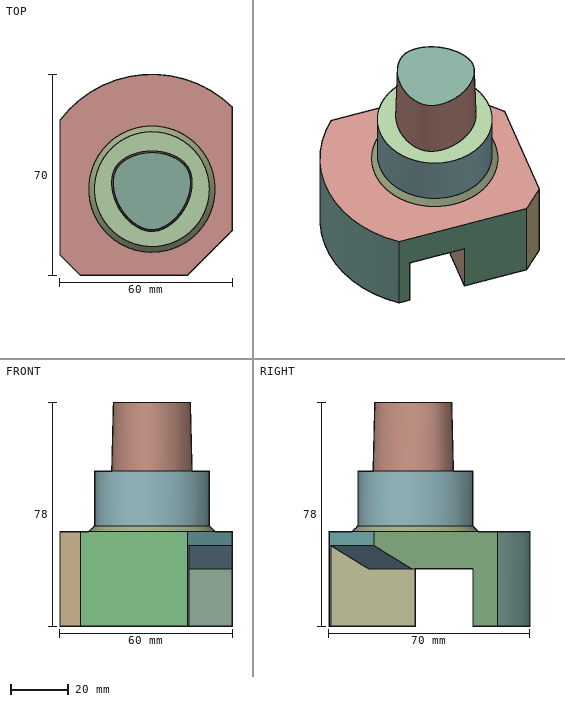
import cadquery as cq
import math


left_x = -32.0
right_x = 28.0
front_y = -30.0
back_radius = 40.0
block_height = 33.0
left_chamfer_width = 10.0
left_chamfer = left_chamfer_width / math.sqrt(2)
right_chamfer_distance = 30.0
right_chamfer_x = math.sqrt(2) * right_chamfer_distance + front_y
right_chamfer_y = right_x - math.sqrt(2) * right_chamfer_distance

slot_front_y = 0.0
slot_back_y = 20.0
slot_height = 20.0

relief_left_x = 13.0
ramp_rise = 8.1
ramp_run = 9.3

boss_radius = 20.0
boss_top = 54.0
flare_size = 2.0

shank_base_diameter = 28.05
shank_length = 24.0
shank_taper = 1 / 20
lobe_offset = 0.72


def make_block():
    back_left_y = math.sqrt(back_radius**2 - left_x**2)
    back_right_y = math.sqrt(back_radius**2 - right_x**2)
    return (
        cq.Workplane("XY")
        .moveTo(left_x + left_chamfer, front_y)
        .lineTo(right_chamfer_x, front_y)
        .lineTo(right_x, right_chamfer_y)
        .lineTo(right_x, back_right_y)
        .threePointArc((0, back_radius), (left_x, back_left_y))
        .lineTo(left_x, front_y + left_chamfer)
        .close()
        .extrude(block_height)
    )


def make_slot():
    return (
        cq.Workplane("XY")
        .moveTo(left_x, slot_front_y)
        .lineTo(right_x, slot_front_y)
        .lineTo(right_x, slot_back_y)
        .lineTo(left_x, slot_back_y)
        .close()
        .extrude(slot_height)
    )


def make_relief():
    """Opening to the right of relief_left_x; its roof climbs squarely towards the right chamfer."""
    footprint = (
        cq.Workplane("XY")
        .moveTo(relief_left_x, front_y)
        .lineTo(right_x, front_y)
        .lineTo(right_x, slot_front_y)
        .lineTo(relief_left_x, slot_front_y)
        .close()
        .extrude(block_height)
    )
    profile_plane = cq.Plane(origin=(0, 0, 0), xDir=(1, -1, 0), normal=(-1, -1, 0))
    profile = (
        cq.Workplane(profile_plane)
        .lineTo(right_chamfer_distance, 0)
        .lineTo(right_chamfer_distance, slot_height + ramp_rise)
        .lineTo(right_chamfer_distance - ramp_run, slot_height)
        .lineTo(0, slot_height)
        .close()
        .extrude(back_radius, both=True)
    )
    return footprint.intersect(profile)


def make_boss():
    """Round boss with a conical flare where it meets the block."""
    return (
        cq.Workplane("XZ")
        .moveTo(0, block_height)
        .lineTo(boss_radius + flare_size, block_height)
        .lineTo(boss_radius, block_height + flare_size)
        .lineTo(boss_radius, boss_top)
        .lineTo(0, boss_top)
        .close()
        .revolve(360, (0, 0), (0, 1))
    )


def shank_outline(diameter):
    """Parametric three-lobed curve of constant width, with one lobe pointing to -Y."""

    def point(t):
        angle = 2 * math.pi * t
        reach = diameter / 2 + lobe_offset * math.sin(3 * angle)
        reach_slope = 3 * lobe_offset * math.cos(3 * angle)
        x = reach * math.cos(angle) - reach_slope * math.sin(angle)
        y = reach * math.sin(angle) + reach_slope * math.cos(angle)
        return x, y

    return point


def make_shank():
    top_diameter = shank_base_diameter - shank_taper * shank_length
    return (
        cq.Workplane("XY")
        .workplane(offset=boss_top)
        .parametricCurve(shank_outline(shank_base_diameter))
        .workplane(offset=shank_length)
        .parametricCurve(shank_outline(top_diameter))
        .loft(ruled=True)
    )


body = make_block().cut(make_slot()).cut(make_relief())
result = body.union(make_boss()).union(make_shank())